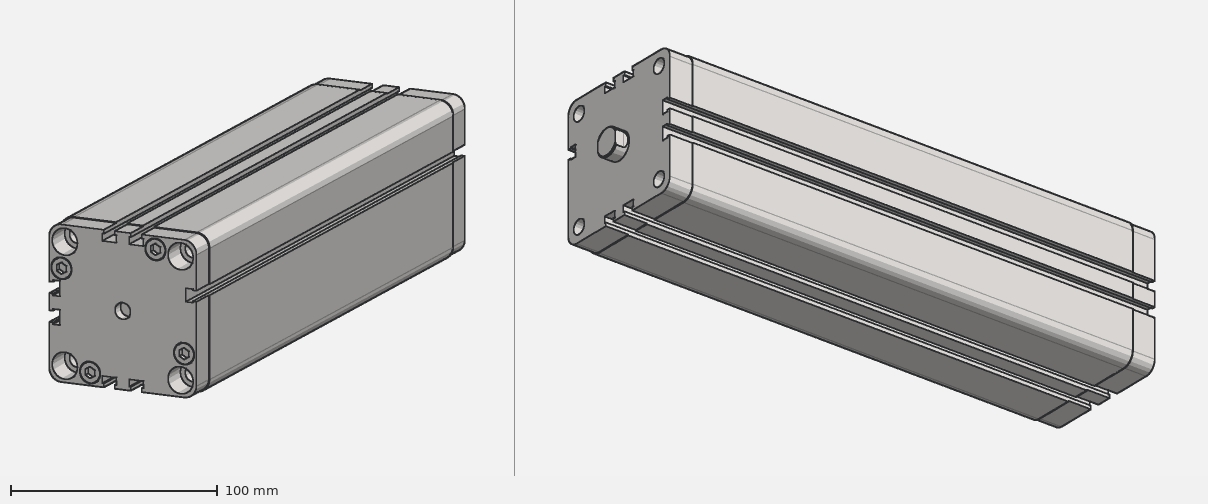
import cadquery as cq

TOTAL_LENGTH = 307.5
ROD_STICKOUT = 7.7
CAP_LENGTH = 13.8
BODY_END = TOTAL_LENGTH - ROD_STICKOUT

TUBE_SIDE = 80.0
CAP_SIDE = 79.0
FLAT_WIDTH = 65.8

SLOT_DEPTH = 6.0
SLOT_LIP = 2.5
PAIR_SPAN = 20.3
PAIR_RIB = 8.5
PAIR_UNDERCUT = 1.0
PAIR_MOUTH = (PAIR_SPAN - PAIR_RIB) / 2
PAIR_OFFSET = (PAIR_SPAN + PAIR_RIB) / 4
SINGLE_MOUTH = 5.5
SINGLE_UNDERCUT = 0.5
SINGLE_OFFSET = 12.0

CORNER_HOLE_POS = 31.0
CORNER_HOLE_DIA = 8.3
COUNTERBORE_DIA = 13.5
COUNTERBORE_DEPTH = CAP_LENGTH

SCREW_POS = (17.5, 33.0)
SCREW_BORE_DIA = 11.0
SCREW_HEAD_DIA = 10.5
SCREW_GAP_DEPTH = 3.0
SOCKET_DIA = 5.8
SOCKET_TURN = 30
SOCKET_DEPTH = 3.0

CENTRE_HOLE_DIA = 8.3
CENTRE_HOLE_DEPTH = 6.0

ROD_DIA = 16.0
ROD_FLATS = 13.5
ROD_CHAMFER = 0.5
FLAT_LENGTH = 5.0
FLAT_RUNOUT_RADIUS = 2.0


def section(y):
    """Workplane at height y along the axis: local x is X, local y is Z, normal is -Y."""
    return cq.Workplane("XZ", origin=(0, y, 0))


def rounded_block(side, y_start, y_end):
    """Square bar with rounded long edges."""
    radius = (side - FLAT_WIDTH) / 2
    return section(y_start).rect(side, side).extrude(y_start - y_end).edges("|Y").fillet(radius)


def slot(offset, mouth_width, undercut, angle):
    """T-slot cutter in the +Z side at X = offset, turned about the axis.

    The cavity below the lips is wider than the mouth by the undercut on each side.
    """
    floor_z = TUBE_SIDE / 2 - SLOT_DEPTH
    cavity_width = mouth_width + 2 * undercut
    cavity_height = SLOT_DEPTH - SLOT_LIP
    mouth = section(0).center(offset, floor_z + SLOT_DEPTH / 2).rect(mouth_width, SLOT_DEPTH)
    cavity = section(0).center(offset, floor_z + cavity_height / 2).rect(cavity_width, cavity_height)
    cutter = mouth.extrude(-BODY_END).union(cavity.extrude(-BODY_END))
    return cutter.rotate((0, 0, 0), (0, 1, 0), angle)


def drill(points, diameter, depth):
    """Round cutters going in from the front face."""
    return section(0).pushPoints(points).circle(diameter / 2).extrude(-depth)


def piston_rod():
    rod = section(TOTAL_LENGTH).circle(ROD_DIA / 2).extrude(ROD_STICKOUT)
    rod = rod.faces(">Y").chamfer(ROD_CHAMFER)
    flat_x = ROD_FLATS / 2
    flat_y = TOTAL_LENGTH - FLAT_LENGTH
    runout = FLAT_RUNOUT_RADIUS
    flat = (
        cq.Workplane("XY")
        .moveTo(flat_x, TOTAL_LENGTH)
        .lineTo(flat_x, flat_y)
        .radiusArc((flat_x + runout, flat_y - runout), -runout)
        .lineTo(flat_x + runout, TOTAL_LENGTH)
        .close()
        .extrude(ROD_DIA / 2, both=True)
    )
    return rod.cut(flat).cut(flat.mirror("YZ"))


body = rounded_block(TUBE_SIDE, CAP_LENGTH, BODY_END - CAP_LENGTH)
body = body.union(rounded_block(CAP_SIDE, 0, CAP_LENGTH))
body = body.union(rounded_block(CAP_SIDE, BODY_END - CAP_LENGTH, BODY_END))

for side_angle in (0, 180, 270):
    for pair_offset in (-PAIR_OFFSET, PAIR_OFFSET):
        body = body.cut(slot(pair_offset, PAIR_MOUTH, PAIR_UNDERCUT, side_angle))
body = body.cut(slot(-SINGLE_OFFSET, SINGLE_MOUTH, SINGLE_UNDERCUT, 90))

corners = [(x, z) for x in (-CORNER_HOLE_POS, CORNER_HOLE_POS) for z in (-CORNER_HOLE_POS, CORNER_HOLE_POS)]
body = body.cut(drill(corners, CORNER_HOLE_DIA, BODY_END))
body = body.cut(drill(corners, COUNTERBORE_DIA, COUNTERBORE_DEPTH))

near, far = SCREW_POS
screws = [(near, far), (far, -near), (-near, -far), (-far, near)]
gaps = drill(screws, SCREW_BORE_DIA, SCREW_GAP_DEPTH).cut(drill(screws, SCREW_HEAD_DIA, SCREW_GAP_DEPTH))
body = body.cut(gaps)
socket = section(0).polygon(6, SOCKET_DIA).extrude(-SOCKET_DEPTH).rotate((0, 0, 0), (0, 1, 0), SOCKET_TURN)
for x, z in screws:
    body = body.cut(socket.translate((x, 0, z)))

body = body.cut(drill([(0, 0)], CENTRE_HOLE_DIA, CENTRE_HOLE_DEPTH))

result = body.union(piston_rod())